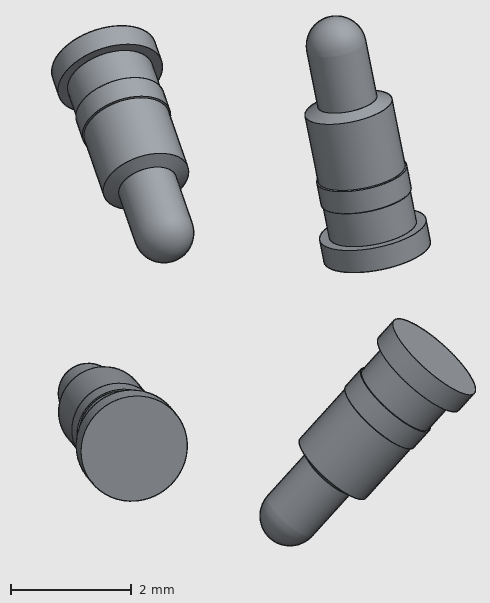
import cadquery as cq

total_length = 4.2
flange_diameter = 1.8
flange_thickness = 0.4
body_diameter = 1.475
ring_diameter = 1.525
ring_start = 1.0
ring_width = 0.4
body_end = 2.7
nose_taper_length = 0.1
ring_taper_length = 0.013
plunger_diameter = 1.0

flange_radius = flange_diameter / 2
body_radius = body_diameter / 2
ring_radius = ring_diameter / 2
plunger_radius = plunger_diameter / 2
ring_end = ring_start + ring_width
taper_start = body_end - nose_taper_length
dome_start = total_length - plunger_radius


def cylinder(start, end, radius):
    """Solid cylinder on the X axis between two positions."""
    return cq.Workplane("YZ", origin=(start, 0, 0)).circle(radius).extrude(end - start)


def cone(start, length, start_radius, end_radius):
    """Solid truncated cone on the X axis."""
    return (
        cq.Workplane("YZ", origin=(start, 0, 0))
        .circle(start_radius)
        .workplane(offset=length)
        .circle(end_radius)
        .loft(ruled=True)
    )


flange = cylinder(0, flange_thickness, flange_radius)
barrel = cylinder(flange_thickness, taper_start, body_radius)
ring = cylinder(ring_start, ring_end, ring_radius)

ring_taper = cone(ring_end, ring_taper_length, ring_radius, body_radius)
nose = cone(taper_start, nose_taper_length, body_radius, plunger_radius)

plunger = cylinder(body_end, dome_start, plunger_radius)
dome = (
    cq.Workplane("XY")
    .moveTo(dome_start, 0)
    .lineTo(dome_start, plunger_radius)
    .radiusArc((total_length, 0), plunger_radius)
    .close()
    .revolve(360, (0, 0, 0), (1, 0, 0))
)

result = flange
for section in (barrel, ring, ring_taper, nose, plunger, dome):
    result = result.union(section)